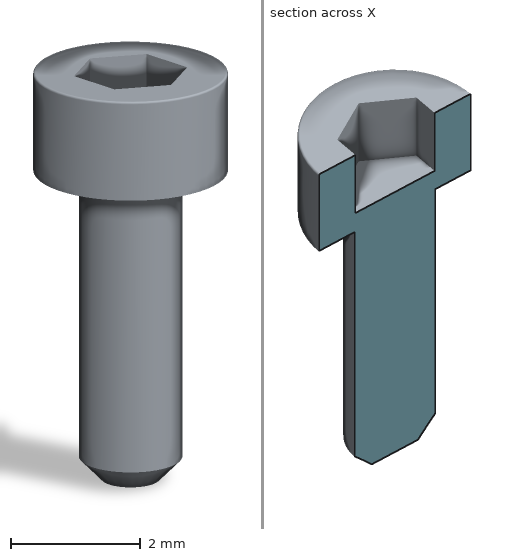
import cadquery as cq
import math

total_length = 6.6
head_diameter = 3.0
head_height = 1.6
shank_diameter = 1.6
head_edge_radius = 0.03

tip_diameter = 0.91
tip_height = 0.355

socket_across_flats = 1.56
socket_depth = 1.2

shank_length = total_length - head_height


def make_head():
    """Cylindrical head standing on Z = 0 with a rounded top rim."""
    head = cq.Workplane("XY").circle(head_diameter / 2).extrude(head_height)
    return head.faces(">Z").edges().fillet(head_edge_radius)


def make_shank():
    """Plain shank hanging below the head, ending in a cone with a flat tip."""
    profile = (
        cq.Workplane("XZ")
        .lineTo(shank_diameter / 2, 0)
        .lineTo(shank_diameter / 2, tip_height - shank_length)
        .lineTo(tip_diameter / 2, -shank_length)
        .lineTo(0, -shank_length)
        .close()
    )
    return profile.revolve(360, (0, 0, 0), (0, 1, 0))


def make_socket():
    """Hexagonal prism to remove from the top of the head."""
    across_corners = socket_across_flats / math.cos(math.pi / 6)
    socket_floor = head_height - socket_depth
    return (
        cq.Workplane("XY")
        .workplane(offset=socket_floor)
        .polygon(6, across_corners)
        .extrude(socket_depth)
    )


result = make_head().union(make_shank()).cut(make_socket())